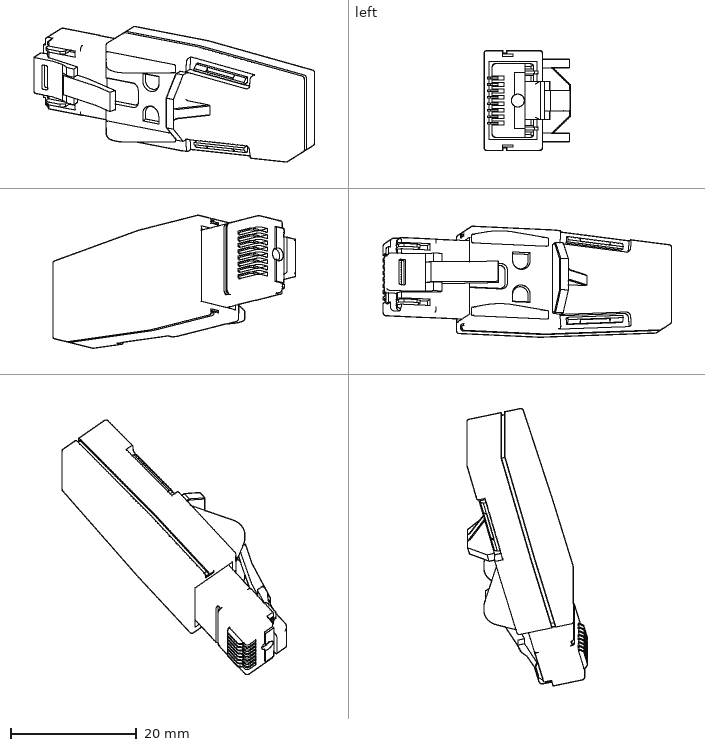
import cadquery as cq
import math


LENGTH = 46.6
HOUSING_START = 13.5
TAPER_START = 27.25
HOUSING_HALF_HEIGHT = 15.9 / 2
END_HALF_HEIGHT = 6.4
HOUSING_DEPTH = 9.25
TOTAL_DEPTH = 13.7
HOUSING_ROUND = 0.4
TAPER_ANGLE = math.degrees(
    math.atan2(HOUSING_HALF_HEIGHT - END_HALF_HEIGHT, LENGTH - TAPER_START)
)

GROOVE_DEPTH_START = 3.0
GROOVE_WIDTH = 0.6
GROOVE_CUT = 0.4

SLIT_DEPTH_START = 2.95
SLIT_WIDTH = 1.7
SLIT_HEIGHT = 0.33
SLIT_Z = 7.05
SLIT_LENGTH = 0.7

DRAFT_ANGLE = 18.0

SOCKET_END = 20.5
MOUTH_DEPTH_START = 0.75
MOUTH_DEPTH_END = 8.4
MOUTH_HALF_HEIGHT = 6.2
MOUTH_LENGTH = 1.4

NOTCH_HALF_HEIGHT = 2.05
NOTCH_END = 19.5
NOTCH_CORNER = 1.02
NOTCH_CUT = 0.65
NOTCH_OVERRUN = 1.85

EAR_START = 13.65
EAR_END = 26.3
EAR_TIP_X = 16.8
EAR_TIP_DEPTH = 14.65
EAR_TIP_RADIUS = 2.95
EAR_INNER_Z = 5.15
EAR_OUTER_Z = 6.55
EAR_EDGE = 0.2

BLADE_START = 26.98
BLADE_END = 28.37
BLADE_BASE_HALF = 5.65
BLADE_TOP_HALF = 2.5
BLADE_SHOULDER_DEPTH = 10.5
BLADE_EDGE = 0.15
GUSSET_END = 32.55
GUSSET_HALF = 0.9
GUSSET_EDGE = 0.15
BLADE_FOOT_ROUND = 0.3

D_CENTRE_X = 21.8
D_RADIUS = 1.45
D_ARC_Z = 2.7
D_FLAT_Z = 4.0
D_RECESS = 0.55

WINDOW_START = 28.35
WINDOW_END = 39.95
WINDOW_WIDTH = 2.15
WINDOW_FLOOR_DEPTH = 7.9
WINDOW_CORNER = 0.7
WINDOW_OVERRUN = 0.45
BAR_START = 29.7
BAR_END = 38.75
BAR_OUTER = 0.7
BAR_INNER = 1.7
BAR_STEP_DEPTH = 8.5
BAR_TOP_DEPTH = 9.05
CLIP_LENGTH = 2.1
CLIP_WIDTH = 0.6

PLUG_START = 1.05
PLUG_STEP = 8.2
PLUG_HALF_HEIGHT = 5.85
PLUG_DEPTH_START = 1.25
PLUG_DEPTH_END = 7.87
PLUG_NOSE_ROUND = 0.55
PLUG_REAR_ROUND = 0.7

BACK_GROOVE_START = 8.3
BACK_GROOVE_END = 8.9
BACK_GROOVE_CUT = 0.4

CONTACT_COUNT = 8
CONTACT_PITCH = 1.02
CONTACT_SLOT_WIDTH = 0.6
CONTACT_SLOT_DEPTH_END = 3.15
CONTACT_START = 2.0
CONTACT_END = 5.55
CONTACT_TOP_DEPTH = 0.55
CONTACT_BOTTOM_DEPTH = 2.2
CONTACT_THICKNESS = 0.3
CONTACT_CHAMFER = 0.45

LEDGE_DEPTH = 6.5
LEDGE_END = 2.0
SETBACK_CHAMFER = 0.45
PAD_START = 0.75
PAD_HALF_HEIGHT = 4.45
PAD_DEPTH_START = 4.85
FRONT_HOLE_RADIUS = 1.02
FRONT_HOLE_DEPTH = 5.35
FRONT_HOLE_LENGTH = 0.8

RAIL_Z = 4.45
RAIL_THICKNESS = 0.45
RAIL_START = 2.0
RAIL_END = 5.55
RAIL_DEPTH_END = 8.53
RAIL_CORNER_RUN = 0.7
RAIL_CORNER_RISE = 0.55
RAIL_POCKET_WIDTH = 1.02
RAIL_POCKET_END = 7.2
RAIL_POCKET_DEPTH = 6.05

LATCH_HALF_WIDTH = 3.05
LATCH_ARM_HALF_WIDTH = 1.65
LATCH_BASE_END = 2.4
LATCH_DEPTH = 9.0
LATCH_FRONT_ROUND = 0.95
LATCH_SIDE_ROUND = 0.45
LATCH_SHOULDER_END = 8.5
LATCH_SLOT_START = 1.8
LATCH_SLOT_WIDTH = 1.05
LATCH_SLOT_LENGTH = 4.1
LATCH_SLOT_CUT = 0.95
LATCH_SLOT_CORNER = 0.3

RAMP_START_X = 3.75
RAMP_END = (5.95, 9.6)
SHOULDER_RISE_END = (7.1, 10.35)
SHOULDER_FLAT_START_X = 7.87
SHOULDER_DEPTH = 10.5
ARM_RISE_END = (6.6, 10.58)
ARM_OUTER_BEND = (13.45, 12.3)
ARM_TIP_OUTER_X = 16.8
ARM_TIP_INNER = (17.2, 12.6)
ARM_SECOND_BEND = (15.3, 11.8)
ARM_INNER_BEND = (10.55, 9.9)


def box(x_start, x_end, depth_start, depth_end, z_start, z_end):
    """Axis-aligned block between two X, depth and Z positions."""
    return cq.Workplane("XY").box(
        x_end - x_start, depth_end - depth_start, z_end - z_start, centered=False
    ).translate((x_start, -depth_end, z_start))


def slab(x_depth_points, z_start, z_end):
    """Outline of (x, depth) points extruded along Z."""
    outline = [(x, -depth) for x, depth in x_depth_points]
    return cq.Workplane("XY", origin=(0, 0, z_start)).polyline(outline).close().extrude(z_end - z_start)


def plate(x_z_points, depth_start, depth_end):
    """Outline of (x, z) points extruded along Y."""
    return (
        cq.Workplane("XZ", origin=(0, -depth_start, 0))
        .polyline(x_z_points)
        .close()
        .extrude(depth_end - depth_start)
    )


def mirrored(shape):
    """The shape together with its mirror image across Z = 0."""
    return shape.union(shape.mirror("XY"))


def along_taper(shape):
    """Turn a shape laid along +X from the taper's start so that it follows the tapered +Z side."""
    start = (TAPER_START, 0, HOUSING_HALF_HEIGHT)
    axis_end = (TAPER_START, 1, HOUSING_HALF_HEIGHT)
    return shape.rotate(start, axis_end, TAPER_ANGLE)


def tapered_outline(inset):
    """Side outline of the housing, moved in by the inset except at the open front."""
    half = HOUSING_HALF_HEIGHT - inset
    end_half = END_HALF_HEIGHT - inset
    end = LENGTH - inset
    upper = [(HOUSING_START, half), (TAPER_START, half), (end, end_half)]
    return upper + [(x, -z) for x, z in reversed(upper)]


def housing_shell():
    """Tapered block rounded on every edge except the slight bends where the taper starts."""
    shell = plate(tapered_outline(0), 0, HOUSING_DEPTH)
    return shell.edges("(not |Y) or <X or >X").fillet(HOUSING_ROUND)


def parting_groove():
    """Groove around the +Z, +X and -Z sides."""
    groove_end = GROOVE_DEPTH_START + GROOVE_WIDTH
    ring = plate(tapered_outline(0), GROOVE_DEPTH_START, groove_end)
    return ring.cut(plate(tapered_outline(GROOVE_CUT), GROOVE_DEPTH_START, groove_end))


def front_slits():
    return mirrored(
        box(
            HOUSING_START, HOUSING_START + SLIT_LENGTH,
            SLIT_DEPTH_START, SLIT_DEPTH_START + SLIT_WIDTH,
            SLIT_Z, SLIT_Z + SLIT_HEIGHT,
        )
    )


def mouth():
    return box(
        HOUSING_START, HOUSING_START + MOUTH_LENGTH,
        MOUTH_DEPTH_START, MOUTH_DEPTH_END,
        -MOUTH_HALF_HEIGHT, MOUTH_HALF_HEIGHT,
    )


def latch_notch():
    """Shallow recess under the latch arm, open at the front, with drafted walls and round corners."""
    start = HOUSING_START - NOTCH_OVERRUN
    outline = (
        cq.Sketch()
        .rect(NOTCH_END - start, 2 * NOTCH_HALF_HEIGHT)
        .vertices()
        .fillet(NOTCH_CORNER)
    )
    return (
        cq.Workplane("XZ", origin=((start + NOTCH_END) / 2, -HOUSING_DEPTH, 0))
        .placeSketch(outline)
        .extrude(-NOTCH_CUT, taper=DRAFT_ANGLE)
    )


def d_recesses():
    recess = (
        cq.Workplane("XZ", origin=(D_CENTRE_X, -HOUSING_DEPTH, 0))
        .moveTo(-D_RADIUS, D_FLAT_Z)
        .lineTo(-D_RADIUS, D_ARC_Z)
        .threePointArc((0, D_ARC_Z - D_RADIUS), (D_RADIUS, D_ARC_Z))
        .lineTo(D_RADIUS, D_FLAT_Z)
        .close()
        .extrude(-D_RECESS, taper=DRAFT_ANGLE)
    )
    return mirrored(recess)


def corner_windows():
    """Recess along each tapered edge, leaving a bar with a stepped middle and sloped ends on its floor."""
    side = HOUSING_HALF_HEIGHT
    window = box(
        WINDOW_START, WINDOW_END,
        WINDOW_FLOOR_DEPTH, HOUSING_DEPTH,
        side - WINDOW_WIDTH, side + WINDOW_OVERRUN,
    )
    window = window.edges("|Y and >X and <Z").fillet(WINDOW_CORNER)
    bar_outer = side - BAR_OUTER
    bar = box(BAR_START, BAR_END, WINDOW_FLOOR_DEPTH, BAR_TOP_DEPTH, side - BAR_INNER, bar_outer)
    for clip_start in (BAR_START, BAR_END - CLIP_LENGTH):
        slope = (
            cq.Workplane("YZ", origin=(clip_start, 0, 0))
            .moveTo(-BAR_STEP_DEPTH, bar_outer)
            .lineTo(-BAR_TOP_DEPTH, bar_outer)
            .lineTo(-BAR_TOP_DEPTH, bar_outer - CLIP_WIDTH)
            .close()
            .extrude(CLIP_LENGTH)
        )
        bar = bar.cut(slope)
    step = box(
        BAR_START + CLIP_LENGTH, BAR_END - CLIP_LENGTH,
        BAR_STEP_DEPTH, BAR_TOP_DEPTH,
        bar_outer - CLIP_WIDTH, bar_outer,
    )
    bar = bar.cut(step)
    return mirrored(along_taper(window.cut(bar)))


def ears():
    ear = slab(
        [(EAR_START, HOUSING_DEPTH), (EAR_TIP_X, EAR_TIP_DEPTH), (EAR_END, HOUSING_DEPTH)],
        EAR_INNER_Z,
        EAR_OUTER_Z,
    )
    ear = ear.edges("|Z and <Y").fillet(EAR_TIP_RADIUS)
    ear = ear.faces(">Z or <Z").edges("not >Y").fillet(EAR_EDGE)
    return mirrored(ear)


def thumb_blade():
    """Upright blade with sloped shoulders, backed by a triangular gusset."""
    upper = [
        (-HOUSING_DEPTH, BLADE_BASE_HALF),
        (-BLADE_SHOULDER_DEPTH, BLADE_BASE_HALF),
        (-TOTAL_DEPTH, BLADE_TOP_HALF),
    ]
    outline = upper + [(y, -z) for y, z in reversed(upper)]
    blade = (
        cq.Workplane("YZ", origin=(BLADE_START, 0, 0))
        .polyline(outline)
        .close()
        .extrude(BLADE_END - BLADE_START)
    )
    blade = blade.faces("<X").edges("not >Y").chamfer(BLADE_EDGE)
    gusset_outline = [(BLADE_END, HOUSING_DEPTH), (BLADE_END, TOTAL_DEPTH), (GUSSET_END, HOUSING_DEPTH)]
    gusset = slab(gusset_outline, -GUSSET_HALF, GUSSET_HALF)
    gusset = gusset.edges("(not |Z) and (not <X) and (not >Y)").chamfer(GUSSET_EDGE)

    round_end = BLADE_END + BLADE_FOOT_ROUND
    foot_top = HOUSING_DEPTH + BLADE_FOOT_ROUND
    foot = box(BLADE_END, round_end, HOUSING_DEPTH, foot_top, -BLADE_BASE_HALF, BLADE_BASE_HALF)
    foot_hollow = (
        cq.Workplane("XY", origin=(0, 0, -BLADE_BASE_HALF))
        .center(round_end, -foot_top)
        .circle(BLADE_FOOT_ROUND)
        .extrude(2 * BLADE_BASE_HALF)
    )
    foot = foot.cut(foot_hollow)
    root_half = GUSSET_HALF + BLADE_FOOT_ROUND
    root = slab(gusset_outline, -root_half, root_half)
    root = root.intersect(box(BLADE_END, round_end, HOUSING_DEPTH, TOTAL_DEPTH, -root_half, root_half))
    root_hollow = (
        cq.Workplane("XZ")
        .pushPoints([(round_end, -root_half), (round_end, root_half)])
        .circle(BLADE_FOOT_ROUND)
        .extrude(TOTAL_DEPTH)
    )
    return blade.union(gusset).union(foot).union(root.cut(root_hollow))


def make_housing(plug):
    """Housing with a socket that fits the plain plug block."""
    housing = housing_shell()
    housing = housing.cut(parting_groove()).cut(front_slits())
    housing = housing.cut(d_recesses()).cut(corner_windows())
    housing = housing.union(ears()).union(thumb_blade())
    return housing.cut(mouth()).cut(latch_notch()).cut(plug)


def plug_block():
    nose = box(PLUG_START, PLUG_STEP, PLUG_DEPTH_START, PLUG_DEPTH_END, -PLUG_HALF_HEIGHT, PLUG_HALF_HEIGHT)
    nose = nose.edges("|X or <X").fillet(PLUG_NOSE_ROUND)
    rear = box(PLUG_STEP, SOCKET_END, PLUG_DEPTH_START, PLUG_DEPTH_END, -PLUG_HALF_HEIGHT, PLUG_HALF_HEIGHT)
    rear = rear.edges("|X").fillet(PLUG_REAR_ROUND)
    back_groove = box(
        BACK_GROOVE_START, BACK_GROOVE_END,
        PLUG_DEPTH_START, PLUG_DEPTH_START + BACK_GROOVE_CUT,
        -PLUG_HALF_HEIGHT, PLUG_HALF_HEIGHT,
    )
    return nose.union(rear).cut(back_groove)


def contact_positions():
    middle = (CONTACT_COUNT - 1) / 2
    return [(number - middle) * CONTACT_PITCH for number in range(CONTACT_COUNT)]


def add_contacts(plug):
    """Open a slot for each contact and stand a contact blade in it."""
    half_slot = CONTACT_SLOT_WIDTH / 2
    half_blade = CONTACT_THICKNESS / 2
    for z in contact_positions():
        plug = plug.cut(
            box(0, CONTACT_END, 0, CONTACT_SLOT_DEPTH_END, z - half_slot, z + half_slot)
        )
        blade = box(
            CONTACT_START, CONTACT_END, CONTACT_TOP_DEPTH, CONTACT_BOTTOM_DEPTH,
            z - half_blade, z + half_blade,
        )
        plug = plug.union(blade.edges("|Z and >Y").chamfer(CONTACT_CHAMFER))
    return plug


def add_front_face(plug):
    """Set the front back behind the latch, then add the raised pad and its round hole."""
    setback_end = LEDGE_END + SETBACK_CHAMFER
    setback = box(0, setback_end, LEDGE_DEPTH, PLUG_DEPTH_END, -PLUG_HALF_HEIGHT, PLUG_HALF_HEIGHT)
    kept = box(LEDGE_END, SOCKET_END, LEDGE_DEPTH, PLUG_DEPTH_END, -PLUG_HALF_HEIGHT, PLUG_HALF_HEIGHT)
    kept = kept.faces("<X").edges("not >Y").chamfer(SETBACK_CHAMFER)
    plug = plug.cut(setback.cut(kept))
    pad = box(PAD_START, LEDGE_END, PAD_DEPTH_START, LEDGE_DEPTH, -PAD_HALF_HEIGHT, PAD_HALF_HEIGHT)
    hole = (
        cq.Workplane("YZ", origin=(PAD_START, -FRONT_HOLE_DEPTH, 0))
        .circle(FRONT_HOLE_RADIUS)
        .extrude(FRONT_HOLE_LENGTH)
    )
    return plug.union(pad).cut(hole)


def add_rails(plug):
    """Pocket on each side of the latch with a thin rail standing in it."""
    pocket_inner = RAIL_Z - RAIL_POCKET_WIDTH / 2
    pocket = box(
        LEDGE_END, RAIL_POCKET_END, RAIL_POCKET_DEPTH, PLUG_DEPTH_END,
        pocket_inner, pocket_inner + RAIL_POCKET_WIDTH,
    )
    corner_depth = RAIL_DEPTH_END - RAIL_CORNER_RISE
    rail_outline = [
        (RAIL_START, RAIL_POCKET_DEPTH),
        (RAIL_START, corner_depth),
        (RAIL_START + RAIL_CORNER_RUN, RAIL_DEPTH_END),
        (RAIL_END - RAIL_CORNER_RUN, RAIL_DEPTH_END),
        (RAIL_END, corner_depth),
        (RAIL_END, RAIL_POCKET_DEPTH),
    ]
    rail = slab(rail_outline, RAIL_Z - RAIL_THICKNESS / 2, RAIL_Z + RAIL_THICKNESS / 2)
    return plug.cut(mirrored(pocket)).union(mirrored(rail))


def add_latch(plug):
    """Base block on the ledge, wide shoulders, and a narrow arm running back over the housing."""
    hinge = (LATCH_BASE_END, PLUG_DEPTH_END)
    arm_slope = (ARM_INNER_BEND[1] - hinge[1]) / (ARM_INNER_BEND[0] - hinge[0])
    shoulder_inner_depth = hinge[1] + arm_slope * (LATCH_SHOULDER_END - hinge[0])

    wide_outline = [
        (0, LEDGE_DEPTH),
        (0, LATCH_DEPTH),
        (RAMP_START_X, LATCH_DEPTH),
        RAMP_END,
        SHOULDER_RISE_END,
        (SHOULDER_FLAT_START_X, SHOULDER_DEPTH),
        (LATCH_SHOULDER_END, SHOULDER_DEPTH),
        (LATCH_SHOULDER_END, shoulder_inner_depth),
        hinge,
        (LATCH_BASE_END, LEDGE_DEPTH),
    ]
    wide_part = slab(wide_outline, -LATCH_HALF_WIDTH, LATCH_HALF_WIDTH)
    front_corner = cq.selectors.NearestToPointSelector((0, -LATCH_DEPTH, 0))
    wide_part = wide_part.edges("|Z").edges(front_corner).fillet(LATCH_FRONT_ROUND)
    envelope = box(0, LATCH_SHOULDER_END, LEDGE_DEPTH, TOTAL_DEPTH, -LATCH_HALF_WIDTH, LATCH_HALF_WIDTH)
    wide_part = wide_part.intersect(envelope.edges("|Y and <X").fillet(LATCH_SIDE_ROUND))

    arm_outline = [
        hinge,
        (RAMP_START_X, LATCH_DEPTH),
        RAMP_END,
        ARM_RISE_END,
        ARM_OUTER_BEND,
        (ARM_TIP_OUTER_X, TOTAL_DEPTH),
        ARM_TIP_INNER,
        ARM_SECOND_BEND,
        ARM_INNER_BEND,
    ]
    arm = slab(arm_outline, -LATCH_ARM_HALF_WIDTH, LATCH_ARM_HALF_WIDTH)

    slot = box(
        LATCH_SLOT_START, LATCH_SLOT_START + LATCH_SLOT_WIDTH,
        LATCH_DEPTH - LATCH_SLOT_CUT, LATCH_DEPTH,
        -LATCH_SLOT_LENGTH / 2, LATCH_SLOT_LENGTH / 2,
    )
    slot = slot.edges("|Y").fillet(LATCH_SLOT_CORNER)
    return plug.union(wide_part).union(arm).cut(slot)


plug_body = plug_block()
housing = make_housing(plug_body)

plug = add_contacts(plug_body)
plug = add_front_face(plug)
plug = add_rails(plug)
plug = add_latch(plug)

result = cq.Compound.makeCompound([housing.val(), plug.val()])